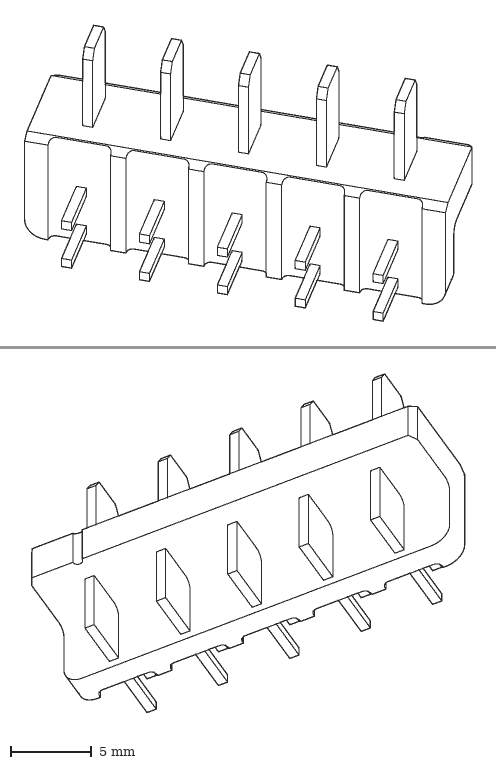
import cadquery as cq


length = 27.02
depth = 6.85
height = 7.9
wall_thickness = 2.0
flange_thickness = 2.95
inner_radius = 0.68
bottom_corner_radius = 1.3
bevel_depth = 0.6
bevel_drop = 0.35
rear_corner_length = 0.6
rear_corner_inset = 0.35
flange_bottom = height - flange_thickness

terminal_count = 5
pitch = 5.0
rib_width = 1.0
pocket_width = pitch - rib_width
pocket_depth = 0.5
pocket_radius = 0.4

notch_radius = 0.32

terminal_thickness = 0.65
blade_width = 3.0
blade_top = 13.85
blade_tip_inset = 0.4
blade_tip_drop = 0.68
plate_rear = 5.25
plate_bottom = 0.57
pin_reach = 3.0
pin_spacing = 3.0
pin_rows = 2

terminal_xs = [(i - (terminal_count - 1) / 2) * pitch for i in range(terminal_count)]


def make_housing():
    """L-shaped bar with bevelled top edges and relieved corners."""
    bar = (
        cq.Workplane("YZ")
        .moveTo(0, 0)
        .lineTo(wall_thickness, 0)
        .lineTo(wall_thickness, flange_bottom - inner_radius)
        .radiusArc((wall_thickness + inner_radius, flange_bottom), inner_radius)
        .lineTo(depth, flange_bottom)
        .lineTo(depth, height - bevel_drop)
        .lineTo(depth - bevel_depth, height)
        .lineTo(bevel_depth, height)
        .lineTo(0, height - bevel_drop)
        .close()
        .extrude(length / 2, both=True)
    )
    plan = (
        cq.Workplane("XY")
        .moveTo(-length / 2, 0)
        .lineTo(length / 2, 0)
        .lineTo(length / 2, depth - rear_corner_length)
        .lineTo(length / 2 - rear_corner_inset, depth)
        .lineTo(rear_corner_inset - length / 2, depth)
        .lineTo(-length / 2, depth - rear_corner_length)
        .close()
        .extrude(height)
    )
    outline = (
        cq.Workplane("XY")
        .box(length, depth, height, centered=(True, False, False))
        .edges("|Y and <Z")
        .fillet(bottom_corner_radius)
    )
    return bar.intersect(plan).intersect(outline)


def make_pocket(x):
    """Upright recess with rounded inner corners, open at the front, top and bottom."""
    return (
        cq.Workplane("XY")
        .box(pocket_width, 2 * pocket_depth, height, centered=(True, True, False))
        .edges("|Z and >Y")
        .fillet(pocket_radius)
        .translate((x, 0, 0))
    )


def make_notch(x):
    """Half-round groove running down the rear face."""
    return cq.Workplane("XY").center(x, depth).circle(notch_radius).extrude(height)


def make_terminal(x):
    """Plate behind the front wall, carrying a blade above and two pins in front."""
    blade_rear = wall_thickness + blade_width
    terminal = (
        cq.Workplane("YZ")
        .moveTo(wall_thickness, plate_bottom)
        .lineTo(plate_rear, plate_bottom)
        .lineTo(plate_rear, flange_bottom)
        .lineTo(blade_rear, flange_bottom)
        .lineTo(blade_rear, blade_top - blade_tip_drop)
        .lineTo(blade_rear - blade_tip_inset, blade_top)
        .lineTo(wall_thickness + blade_tip_inset, blade_top)
        .lineTo(wall_thickness, blade_top - blade_tip_drop)
        .close()
        .extrude(terminal_thickness / 2, both=True)
    )
    pin_length = pin_reach + wall_thickness
    pin = cq.Workplane("XY").box(
        terminal_thickness, pin_length, terminal_thickness, centered=(True, False, False)
    )
    for row in range(pin_rows):
        terminal = terminal.union(pin.translate((0, -pin_reach, plate_bottom + row * pin_spacing)))
    return terminal.translate((x, 0, 0))


result = make_housing().cut(make_notch(terminal_xs[-1]))
for terminal_x in terminal_xs:
    result = result.cut(make_pocket(terminal_x))
for terminal_x in terminal_xs:
    result = result.union(make_terminal(terminal_x))